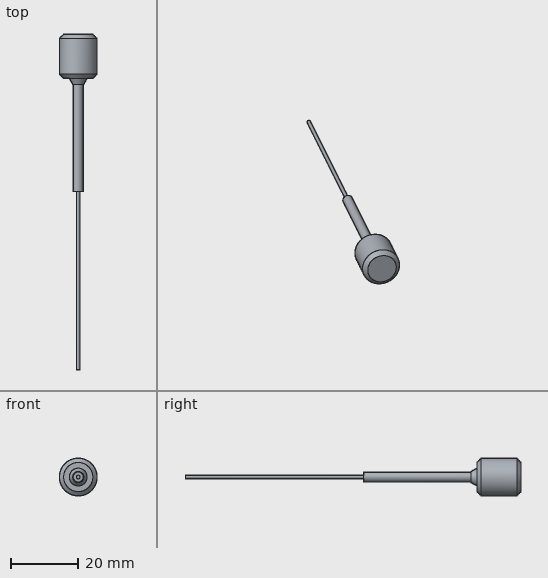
import cadquery as cq

total_length = 100.1
head_length = 13.2
neck_length = 1.8
needle_length = 53.1

head_diameter = 11.3
neck_base_diameter = 5.3
neck_end_diameter = 3.3
shaft_diameter = 3.0
needle_diameter = 1.1

head_chamfer = 1.3

needle_tip_y = -total_length / 2
shaft_end_y = needle_tip_y + needle_length
head_back_y = total_length / 2
head_front_y = head_back_y - head_length
neck_end_y = head_front_y - neck_length


def rod(diameter, start_y, end_y):
    """Round bar along Y between two stations."""
    return (
        cq.Workplane("XZ", origin=(0, end_y, 0))
        .circle(diameter / 2)
        .extrude(end_y - start_y)
    )


def tapered_neck():
    """Cone that narrows from the head and ends in a small step down to the shaft."""
    return (
        cq.Workplane("XZ", origin=(0, head_front_y, 0))
        .circle(neck_base_diameter / 2)
        .workplane(offset=neck_length)
        .circle(neck_end_diameter / 2)
        .loft()
    )


head = rod(head_diameter, head_front_y, head_back_y).edges().chamfer(head_chamfer)

shaft = rod(shaft_diameter, shaft_end_y, neck_end_y)
needle = rod(needle_diameter, needle_tip_y, shaft_end_y)

result = head.union(tapered_neck()).union(shaft).union(needle)